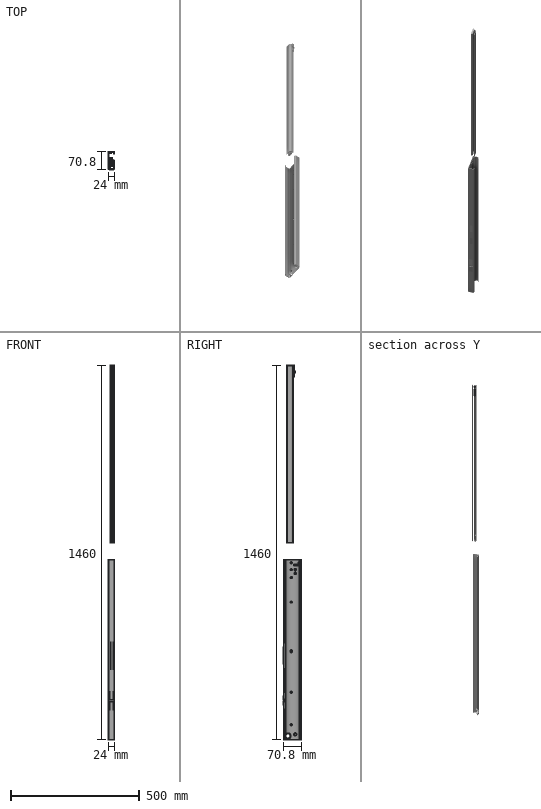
import cadquery as cq

TOTAL_WIDTH = 24.0
TOTAL_DEPTH = 70.8
TOTAL_HEIGHT = 1459.99
SHEET = 2.0

RAIL_LENGTH = 703.0
RAIL_FLANGE_Y = 1.8
RAIL_CORNER_RADIUS = 5.0
WEB_BEND_RADIUS = 3.0
HOOK_HEIGHT = 8.0
LEDGE_WIDTH = 11.0
LEDGE_Y = 63.5

SCREW_DIAMETER = 4.5
SCREW_LINE_Y = 31.0
SCREW_HEIGHTS = [59.0, 186.0, 537.0, 633.0, 664.0, 690.5]
OBLONG_HEIGHT = 346.0
OBLONG_LENGTH = 9.0
SIDE_LINE_Y = 46.4
SIDE_HOLE_DIAMETER = 6.0
SIDE_HOLE_HEIGHTS = [649.0, 664.0]
LOCATING_DIAMETER = 8.5
LOCATING_HEIGHT = 22.0
CROSS_SLOT_Y = 51.0
CROSS_SLOT_HEIGHT = 682.0
CROSS_SLOT_LENGTH = 19.0
CROSS_SLOT_WIDTH = 3.5
EDGE_HOLE_Y = 61.5

KEYHOLE_Y = 17.9
KEYHOLE_Z = 15.5
KEYHOLE_DIAMETER = 19.0
COLLAR_DIAMETER = 22.0
COLLAR_REACH = 7.0
KEYHOLE_SLOT_WIDTH = 6.0
KEYHOLE_SLOT_BOTTOM = 2.5

LONG_PAD_HEIGHTS = [276.0, 311.0, 346.0, 381.0]
LONG_PAD_X = (9.5, 19.0)
SHORT_PAD_HEIGHTS = [118.0, 149.0, 157.5, 188.0]
SHORT_PAD_X = (5.0, 19.0)

NARROW_LENGTH = 692.0
NARROW_X = 8.5
NARROW_Y_MIN = 13.5
NARROW_Y_MAX = 38.0
NARROW_CORNER_RADIUS = 8.5
RACE_Y = (29.0, 35.5)
RACE_DEPTH = 1.0
RETURN_X = 15.5
RETURN_TOP_Y = 28.0
NARROW_BOTTOM = TOTAL_HEIGHT - NARROW_LENGTH
STOP_RAISE = 5.0
NARROW_HOLE_DIAMETER = 7.0
NARROW_HOLE_Y = 22.0
NARROW_HOLE_RAISE = 30.0

LATCH_LENGTH = 44.0
LATCH_TAB_Y = 42.5
LATCH_TAB_HEIGHT = 18.0
LATCH_TAB_GAP = 5.0
LATCH_PIP_Y = 46.5
LATCH_PIP_HEIGHT = 4.0
LATCH_PIP_DROP = 28.0
LATCH_WINDOW_Y = (19.0, 28.0)
LATCH_WINDOW_HEIGHT = 12.0
LATCH_WINDOW_DROP = 4.0
CATCH_WINDOW_Y = (24.0, 32.0)
CATCH_WINDOW_HEIGHT = 18.0
CATCH_WINDOW_DROP = 22.0


def block(x_range, y_range, z_range):
    size = [high - low for low, high in (x_range, y_range, z_range)]
    corner = (x_range[0], y_range[0], z_range[0])
    return cq.Workplane("XY").box(*size, centered=False).translate(corner)


def round_bar(diameter, y, z, reach):
    """Cylinder along X from X = 0 to the given reach."""
    return cq.Workplane("YZ").center(y, z).circle(diameter / 2).extrude(reach)


def web_slot(length, width, y, z, angle):
    return cq.Workplane("YZ").center(y, z).slot2D(length, width, angle).extrude(SHEET)


def rail_section():
    """C section with hooked flanges and an inner ledge beside the +Y flange."""
    height = (0, RAIL_LENGTH)
    shell = block((0, TOTAL_WIDTH), (RAIL_FLANGE_Y, TOTAL_DEPTH), height)
    shell = shell.edges("|Z and <Y").fillet(RAIL_CORNER_RADIUS)
    shell = shell.edges("|Z and >Y and >X").fillet(RAIL_CORNER_RADIUS)
    shell = shell.edges("|Z and >Y and <X").fillet(WEB_BEND_RADIUS)
    inside = block(
        (SHEET, TOTAL_WIDTH - SHEET), (RAIL_FLANGE_Y + SHEET, TOTAL_DEPTH - SHEET), height
    ).edges("|Z").fillet(RAIL_CORNER_RADIUS - SHEET)
    mouth = block(
        (TOTAL_WIDTH - SHEET, TOTAL_WIDTH),
        (RAIL_FLANGE_Y + HOOK_HEIGHT, TOTAL_DEPTH - HOOK_HEIGHT),
        height,
    )
    ledge = block((0, LEDGE_WIDTH), (LEDGE_Y, LEDGE_Y + SHEET), height)
    return shell.cut(inside).cut(mouth).union(ledge)


def cut_web_holes(rail):
    round_holes = [(SCREW_DIAMETER, SCREW_LINE_Y, z) for z in SCREW_HEIGHTS]
    round_holes += [(SIDE_HOLE_DIAMETER, SIDE_LINE_Y, z) for z in SIDE_HOLE_HEIGHTS]
    round_holes.append((LOCATING_DIAMETER, SIDE_LINE_Y, LOCATING_HEIGHT))
    round_holes.append((SCREW_DIAMETER, EDGE_HOLE_Y, SCREW_HEIGHTS[-1]))
    for diameter, y, z in round_holes:
        rail = rail.cut(round_bar(diameter, y, z, SHEET))
    rail = rail.cut(web_slot(OBLONG_LENGTH, SCREW_DIAMETER, SCREW_LINE_Y, OBLONG_HEIGHT, 90))
    return rail.cut(
        web_slot(CROSS_SLOT_LENGTH, CROSS_SLOT_WIDTH, CROSS_SLOT_Y, CROSS_SLOT_HEIGHT, 0)
    )


def add_keyhole(rail):
    """Round opening with a drawn collar and a short slot running down from it."""
    rail = rail.union(round_bar(COLLAR_DIAMETER, KEYHOLE_Y, KEYHOLE_Z, COLLAR_REACH))
    rail = rail.cut(round_bar(KEYHOLE_DIAMETER, KEYHOLE_Y, KEYHOLE_Z, COLLAR_REACH))
    half_slot = KEYHOLE_SLOT_WIDTH / 2
    slot = block(
        (0, COLLAR_REACH),
        (KEYHOLE_Y - half_slot, KEYHOLE_Y + half_slot),
        (KEYHOLE_SLOT_BOTTOM, KEYHOLE_Z),
    )
    return rail.cut(slot)


def ramped_pad(heights, x_range):
    """Pad rising by ramps from the flange at its two ends to Y = 0 between them."""
    foot, low_crest, high_crest, head = heights
    outline = [
        (RAIL_FLANGE_Y + SHEET, foot),
        (RAIL_FLANGE_Y, foot),
        (0, low_crest),
        (0, high_crest),
        (RAIL_FLANGE_Y, head),
        (RAIL_FLANGE_Y + SHEET, head),
    ]
    pad = cq.Workplane("YZ").polyline(outline).close().extrude(x_range[1] - x_range[0])
    return pad.translate((x_range[0], 0, 0))


def make_wide_rail():
    rail = add_keyhole(cut_web_holes(rail_section()))
    rail = rail.union(ramped_pad(LONG_PAD_HEIGHTS, LONG_PAD_X))
    rail = rail.union(ramped_pad(SHORT_PAD_HEIGHTS, SHORT_PAD_X))
    gap = block(SHORT_PAD_X, (0, RAIL_FLANGE_Y), (SHORT_PAD_HEIGHTS[1], SHORT_PAD_HEIGHTS[2]))
    return rail.cut(gap)


def ball_race():
    """Shallow arc-shaped groove down the -X face of the narrow rail."""
    low, high = RACE_Y
    outline = (
        cq.Workplane("XY", origin=(0, 0, NARROW_BOTTOM))
        .moveTo(NARROW_X, low)
        .threePointArc((NARROW_X + RACE_DEPTH, (low + high) / 2), (NARROW_X, high))
        .close()
    )
    return outline.extrude(NARROW_LENGTH)


def narrow_section():
    """Arch open towards -Y, whose -X leg turns back up inside it as a return lip."""
    height = (NARROW_BOTTOM, TOTAL_HEIGHT)
    shell = block((NARROW_X, TOTAL_WIDTH), (NARROW_Y_MIN, NARROW_Y_MAX), height)
    shell = shell.edges("|Z and >X and >Y").fillet(NARROW_CORNER_RADIUS)
    inside = block(
        (NARROW_X + SHEET, TOTAL_WIDTH - SHEET), (NARROW_Y_MIN, NARROW_Y_MAX - SHEET), height
    ).edges("|Z and >X and >Y").fillet(NARROW_CORNER_RADIUS - SHEET)
    flange = block((NARROW_X, RETURN_X), (NARROW_Y_MIN, NARROW_Y_MIN + SHEET), height)
    return_lip = block((RETURN_X - SHEET, RETURN_X), (NARROW_Y_MIN, RETURN_TOP_Y), height)
    return shell.cut(inside).union(flange).union(return_lip).cut(ball_race())


def make_latch():
    """Filling of the hook at the top end, with two tabs and a pip reaching towards +Y."""
    latch_bottom = TOTAL_HEIGHT - LATCH_LENGTH
    latch_x = (NARROW_X, RETURN_X)
    tab_bottom = TOTAL_HEIGHT - LATCH_TAB_HEIGHT
    pip_bottom = TOTAL_HEIGHT - LATCH_PIP_DROP
    tab_y = (NARROW_Y_MAX - SHEET, LATCH_TAB_Y)
    latch = block(latch_x, (NARROW_Y_MIN, NARROW_Y_MAX), (latch_bottom, TOTAL_HEIGHT))
    latch = latch.union(block(latch_x, tab_y, (tab_bottom, TOTAL_HEIGHT)))
    latch = latch.union(block(latch_x, tab_y, (latch_bottom, tab_bottom - LATCH_TAB_GAP)))
    return latch.union(
        block(latch_x, (tab_y[0], LATCH_PIP_Y), (pip_bottom, pip_bottom + LATCH_PIP_HEIGHT))
    )


def make_narrow_rail():
    rail = narrow_section().union(make_latch())
    windows = (
        (LATCH_WINDOW_Y, LATCH_WINDOW_HEIGHT, LATCH_WINDOW_DROP),
        (CATCH_WINDOW_Y, CATCH_WINDOW_HEIGHT, CATCH_WINDOW_DROP),
    )
    for y_range, height, drop in windows:
        window_top = TOTAL_HEIGHT - drop
        window_z = (window_top - height, window_top)
        rail = rail.cut(block((NARROW_X, NARROW_X + SHEET), y_range, window_z))
    stop_bottom = NARROW_BOTTOM + STOP_RAISE
    stop = block(
        (NARROW_X, RETURN_X), (NARROW_Y_MIN, RETURN_TOP_Y), (stop_bottom, stop_bottom + SHEET)
    )
    hole = round_bar(
        NARROW_HOLE_DIAMETER, NARROW_HOLE_Y, NARROW_BOTTOM + NARROW_HOLE_RAISE, NARROW_X + SHEET
    )
    return rail.union(stop).cut(hole)


wide_rail = make_wide_rail()
narrow_rail = make_narrow_rail()

result = cq.Compound.makeCompound([wide_rail.val(), narrow_rail.val()])